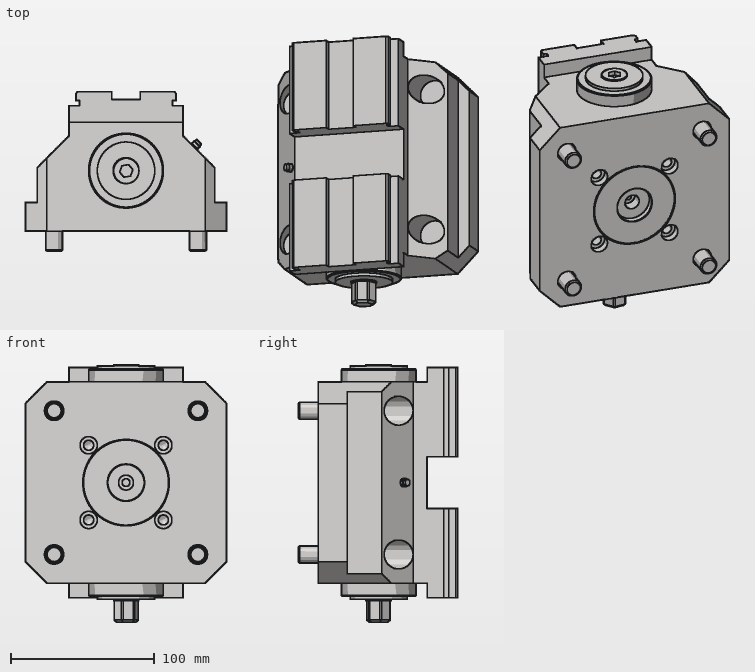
import cadquery as cq
import math


BODY_SIDE = 140.0
HALF_SIDE = BODY_SIDE / 2
CORNER_CHAMFER = 15.0
FLANGE_TOP = 20.0
SHOULDER_HALF_WIDTH = 61.8
SHOULDER_Y = 44.0
BACK_HALF_WIDTH = 39.7
SLOPE_RUN = SHOULDER_HALF_WIDTH - BACK_HALF_WIDTH
SLOPE_TOP_Y = SHOULDER_Y + SLOPE_RUN
BODY_BACK_Y = 75.7

RAIL_LENGTH = 160.0
RAIL_SHOULDER_Y = 87.2
RAIL_HEAD_Y = 90.8
RAIL_BACK_Y = 97.0
RAIL_NECK_HALF_WIDTH = 32.4
RAIL_HEAD_HALF_WIDTH = 34.9
RAIL_HEAD_CHAMFER = 1.5
RAIL_SLOT_WIDTH = 19.7
RAIL_SLOT_DEPTH = 5.4
RAIL_GAP = 35.8

SPINDLE_Y = 42.0
COLLAR_DIAMETER = 52.0
COLLAR_HEIGHT = 9
COLLAR_CHAMFER = 0.7
COVER_DIAMETER = 40.0
COVER_HEIGHT = 11.1
COVER_BORE_DIAMETER = 18.0
COVER_BORE_DEPTH = 2.7
SPINDLE_DIAMETER = 17.5
SPINDLE_OFFSET = 0.2
SPINDLE_HEIGHT = 12.0
DRIVE_LENGTH = 27.0
DRIVE_ACROSS_FLATS = 15.4
DRIVE_CORNER_DIAMETER = 17.0
DRIVE_CHAMFER = 1.8
SOCKET_ACROSS_FLATS = 8.0
SOCKET_DEPTH = 3.0
HEX_TWIST = 10

SCREW_SPACING = 99.9
SCREW_DIAMETER = 12.0
SCREW_LENGTH = 14.0
SCREW_CHAMFER = 1.0
SCREW_CLEARANCE_DIAMETER = 13.5
SCREW_CLEARANCE_DEPTH = 9
HEAD_POCKET_DIAMETER = 20.0
HEAD_POCKET_FLOOR_Y = 37.6

DOWEL_SPACING = 51.9
DOWEL_DIAMETER = 12.0
DOWEL_DEPTH = 6.0
DRILL_DIAMETER = 7.0
DRILL_DEPTH = 14.3
DRILL_POINT_ANGLE = 118
DISC_DIAMETER = 59
DISC_GAP = 0.5
DISC_GAP_DEPTH = 1.0
RECESS_DIAMETER = 26.0
RECESS_DEPTH = 5.0
RECESS_RIM_CHAMFER = 0.4
BORE_DIAMETER = 10.4
BORE_DEPTH = 14.0
PILOT_DIAMETER = 5.4
PILOT_DEPTH = 19.3

NIPPLE_X = 47.3
NIPPLE_Y = SLOPE_TOP_Y - (NIPPLE_X - BACK_HALF_WIDTH)
NIPPLE_ROOT = 1.8
NIPPLE_NECK_DIAMETER = 4.0
NIPPLE_NECK_TOP = 0.7
NIPPLE_BODY_DIAMETER = 5.7
NIPPLE_BODY_TOP = 3.0
NIPPLE_HEAD_DIAMETER = 4.7
NIPPLE_TOP = 5.0


def prism_along_z(half_outline, length):
    """Extrude an outline mirrored about X = 0, centred on Z = 0."""
    mirrored = [(-x, y) for x, y in reversed(half_outline)]
    return cq.Workplane("XY").polyline(half_outline + mirrored).close().extrude(length / 2, both=True)


def rod_y(diameter, start, end, places=((0, 0),)):
    """Cylinders along Y from start to end at the given (x, z) places."""
    face = cq.Workplane("XZ", origin=(0, start, 0))
    return face.pushPoints(places).circle(diameter / 2).extrude(start - end)


def rod_z(diameter, start, end):
    """Cylinder along Z on the origin axis, from start to end."""
    return cq.Workplane("XY", origin=(0, 0, start)).circle(diameter / 2).extrude(end - start)


def hexagon_z(across_flats, start, end):
    """Twisted hexagonal prism along Z on the origin axis, from start to end."""
    face = cq.Workplane("XY", origin=(0, 0, start)).transformed(rotate=(0, 0, HEX_TWIST))
    return face.polygon(6, across_flats / math.cos(math.pi / 6)).extrude(end - start)


def square_pattern(spacing):
    half = spacing / 2
    return [(x, z) for x in (-half, half) for z in (-half, half)]


def make_body():
    block = prism_along_z(
        [
            (HALF_SIDE, 0),
            (HALF_SIDE, FLANGE_TOP),
            (SHOULDER_HALF_WIDTH, FLANGE_TOP),
            (SHOULDER_HALF_WIDTH, SHOULDER_Y),
            (BACK_HALF_WIDTH, SLOPE_TOP_Y),
            (BACK_HALF_WIDTH, BODY_BACK_Y),
        ],
        BODY_SIDE,
    )
    octagon = (
        cq.Workplane("XY")
        .box(BODY_SIDE, BODY_BACK_Y, BODY_SIDE, centered=(True, False, True))
        .edges("|Y")
        .chamfer(CORNER_CHAMFER)
    )
    return block.intersect(octagon)


def make_rail():
    slot_half = RAIL_SLOT_WIDTH / 2
    slot_floor_y = RAIL_BACK_Y - RAIL_SLOT_DEPTH
    rail = prism_along_z(
        [
            (BACK_HALF_WIDTH, BODY_BACK_Y),
            (BACK_HALF_WIDTH, RAIL_SHOULDER_Y),
            (RAIL_NECK_HALF_WIDTH, RAIL_SHOULDER_Y),
            (RAIL_NECK_HALF_WIDTH, RAIL_HEAD_Y),
            (RAIL_HEAD_HALF_WIDTH, RAIL_HEAD_Y),
            (RAIL_HEAD_HALF_WIDTH, RAIL_BACK_Y - RAIL_HEAD_CHAMFER),
            (RAIL_HEAD_HALF_WIDTH - RAIL_HEAD_CHAMFER, RAIL_BACK_Y),
            (slot_half, RAIL_BACK_Y),
            (slot_half, slot_floor_y),
        ],
        RAIL_LENGTH,
    )
    gap = cq.Workplane("XY", origin=(0, BODY_BACK_Y, 0)).box(
        2 * BACK_HALF_WIDTH, RAIL_BACK_Y - BODY_BACK_Y, RAIL_GAP, centered=(True, False, True)
    )
    return rail.cut(gap)


def make_bearings():
    """Collars with bored covers, standing out at both ends of the body."""
    collar_end = HALF_SIDE + COLLAR_HEIGHT
    cover_end = HALF_SIDE + COVER_HEIGHT
    bore_floor = cover_end - COVER_BORE_DEPTH
    collars = rod_z(COLLAR_DIAMETER, -collar_end, collar_end).faces("<Z or >Z").chamfer(COLLAR_CHAMFER)
    bearings = collars.union(rod_z(COVER_DIAMETER, -cover_end, cover_end))
    bearings = bearings.cut(rod_z(COVER_BORE_DIAMETER, bore_floor, cover_end))
    bearings = bearings.cut(rod_z(COVER_BORE_DIAMETER, -cover_end, -bore_floor))
    return bearings.translate((0, SPINDLE_Y, 0))


def make_spindle():
    """Spindle with a hexagon socket at the top and a drive hexagon at the bottom."""
    spindle_end = HALF_SIDE + SPINDLE_HEIGHT
    drive_end = HALF_SIDE + DRIVE_LENGTH
    spindle = rod_z(SPINDLE_DIAMETER, -spindle_end, spindle_end)
    drive = hexagon_z(DRIVE_ACROSS_FLATS, -drive_end, -HALF_SIDE).faces("<Z").chamfer(DRIVE_CHAMFER)
    drive = drive.intersect(rod_z(DRIVE_CORNER_DIAMETER, -drive_end, -HALF_SIDE))
    socket = hexagon_z(SOCKET_ACROSS_FLATS, spindle_end - SOCKET_DEPTH, spindle_end)
    spindle = spindle.union(drive).cut(socket)
    return spindle.translate((SPINDLE_OFFSET, SPINDLE_Y - SPINDLE_OFFSET, 0))


def add_screws(part):
    places = square_pattern(SCREW_SPACING)
    part = part.cut(rod_y(HEAD_POCKET_DIAMETER, HEAD_POCKET_FLOOR_Y, BODY_BACK_Y, places))
    part = part.cut(rod_y(SCREW_CLEARANCE_DIAMETER, 0, SCREW_CLEARANCE_DEPTH, places))
    screws = rod_y(SCREW_DIAMETER, -SCREW_LENGTH, HEAD_POCKET_FLOOR_Y, places)
    return part.union(screws.faces("<Y").chamfer(SCREW_CHAMFER))


def cut_dowel_holes(part):
    radius = DRILL_DIAMETER / 2
    tip_length = radius / math.tan(math.radians(DRILL_POINT_ANGLE / 2))
    drill = (
        cq.Workplane("XY")
        .polyline([(0, 0), (radius, 0), (radius, DRILL_DEPTH), (0, DRILL_DEPTH + tip_length)])
        .close()
        .revolve(360, (0, 0, 0), (0, 1, 0))
    )
    cutter = drill.union(rod_y(DOWEL_DIAMETER, 0, DOWEL_DEPTH))
    for x, z in square_pattern(DOWEL_SPACING):
        part = part.cut(cutter.translate((x, 0, z)))
    return part


def cut_centre(part):
    """Ring gap around the centre disc and the stepped hole in the middle of it."""
    disc = rod_y(DISC_DIAMETER, 0, DISC_GAP_DEPTH)
    ring_gap = rod_y(DISC_DIAMETER + 2 * DISC_GAP, 0, DISC_GAP_DEPTH).cut(disc)
    part = part.cut(ring_gap)
    rim = cq.Solid.makeCone(
        RECESS_DIAMETER / 2,
        RECESS_DIAMETER / 2 - RECESS_RIM_CHAMFER,
        RECESS_RIM_CHAMFER,
        dir=cq.Vector(0, 1, 0),
    )
    part = part.cut(cq.Workplane(rim))
    part = part.cut(rod_y(RECESS_DIAMETER - 2 * RECESS_RIM_CHAMFER, 0, RECESS_DEPTH))
    part = part.cut(rod_y(BORE_DIAMETER, 0, BORE_DEPTH))
    return part.cut(rod_y(PILOT_DIAMETER, 0, PILOT_DEPTH))


def make_nipple():
    """Grease nipple standing square on the 45 degree flank."""
    flank = cq.Plane(origin=(NIPPLE_X, NIPPLE_Y, 0), xDir=(0, 0, 1), normal=(1, 1, 0))
    face = cq.Workplane(flank)
    neck = face.workplane(offset=-NIPPLE_ROOT).circle(NIPPLE_NECK_DIAMETER / 2)
    neck = neck.extrude(NIPPLE_ROOT + NIPPLE_NECK_TOP)
    body = face.workplane(offset=NIPPLE_NECK_TOP).circle(NIPPLE_BODY_DIAMETER / 2)
    body = body.extrude(NIPPLE_BODY_TOP - NIPPLE_NECK_TOP)
    head = face.workplane(offset=NIPPLE_BODY_TOP).circle(NIPPLE_HEAD_DIAMETER / 2)
    head = head.extrude(NIPPLE_TOP - NIPPLE_BODY_TOP)
    return neck.union(body).union(head)


part = make_body().union(make_rail())
part = part.union(make_bearings()).union(make_spindle()).union(make_nipple())
part = add_screws(part)
part = cut_dowel_holes(part)
result = cut_centre(part)